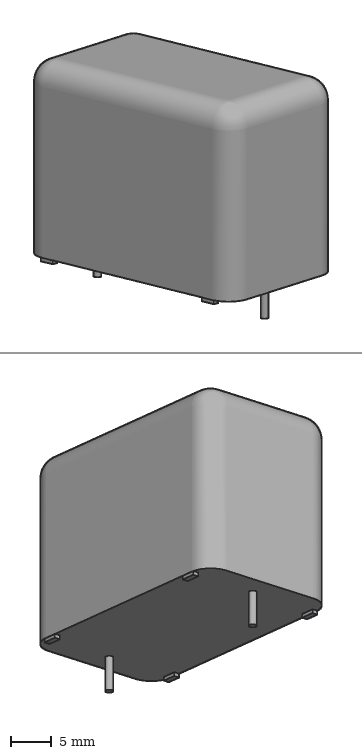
import cadquery as cq

housing_length = 34.0
housing_width = 20.0
housing_height = 25.0
edge_radius = 3.0

pin_diameter = 1.0
pin_pitch = 27.5
pin_length = 4.5

foot_length = 2.0
foot_width = 0.8
foot_height = 0.5
foot_outer_x = pin_pitch / 2 + pin_diameter / 2
foot_center_x = foot_outer_x - foot_length / 2
foot_center_y = housing_width / 2 - foot_width / 2


def make_housing():
    block = cq.Workplane("XY").box(
        housing_length, housing_width, housing_height, centered=(True, True, False)
    )
    return block.edges("|Z or >Z").fillet(edge_radius)


def make_pin(x):
    return cq.Workplane("XY").center(x, 0).circle(pin_diameter / 2).extrude(-pin_length)


def make_foot(x, y):
    return cq.Workplane("XY").center(x, y).rect(foot_length, foot_width).extrude(-foot_height)


housing = make_housing()

pins = []
feet = []
for x_side in (-1, 1):
    pins.append(make_pin(x_side * pin_pitch / 2))
    for y_side in (-1, 1):
        feet.append(make_foot(x_side * foot_center_x, y_side * foot_center_y))

result = cq.Compound.makeCompound(
    [
        housing.val(),
        *[pin.val() for pin in pins],
        *[foot.val() for foot in feet],
    ]
)